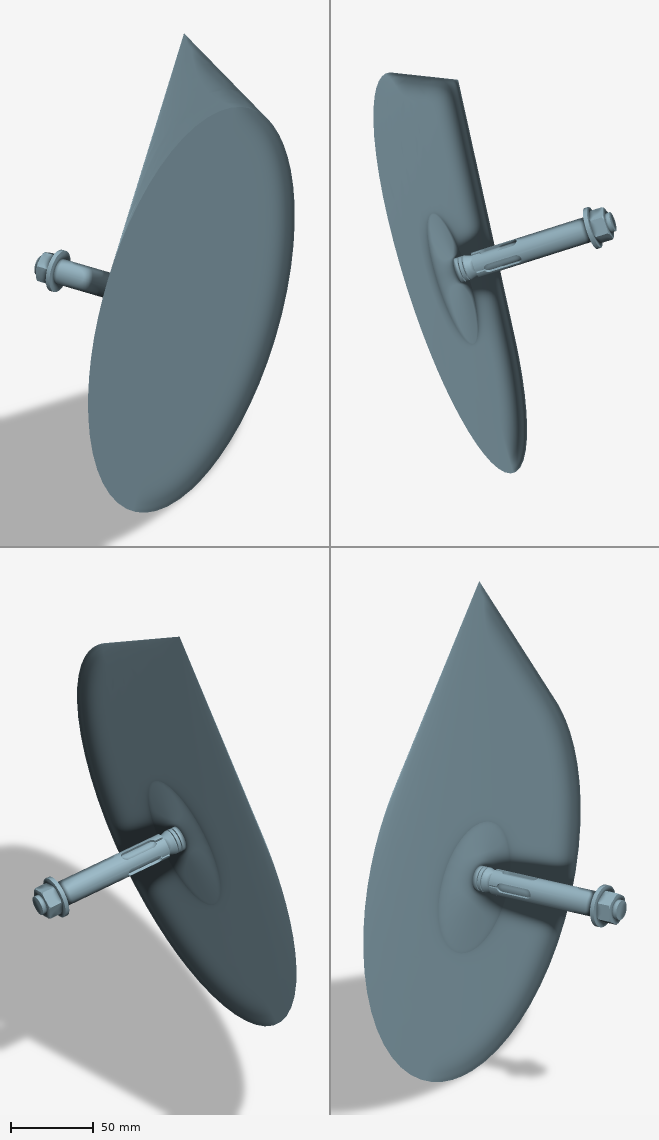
import cadquery as cq
import math


plate_radius = 126.5
tip_height = 319.5 - plate_radius
tip_rise = 5.0
hub_rise = 5.7
hub_base_radius = 60.7

bolt_end = -105.5
stud_diameter = 12.0
nut_start = -102.5
nut_across_flats = 18.0
nut_chamfer = 0.8
washer_start = -93.5
washer_thickness = 2.5
washer_diameter = 26.0
foot_diameter = 15.3
flare_end = -11.5
groove_diameter = 11.0
groove_starts = (-11.0, -8.3)
groove_width = 0.5

sleeve_start = washer_start + washer_thickness
sleeve_end = -16.5
sleeve_diameter = 15.5
slot_start = -46.0
slot_end = -22.0
slot_width = 6.0
slit_width = 1.3
slot_count = 4

hub_top_radius = foot_diameter / 2
hub_top = -hub_rise * (1 - hub_top_radius / hub_base_radius)


def cylinder(start, end, diameter):
    """Round bar along the X axis."""
    return cq.Workplane("YZ", origin=(start, 0, 0)).circle(diameter / 2).extrude(end - start)


def cone(start, end, start_radius, end_radius):
    """Truncated cone along the X axis."""
    return cq.Workplane(
        cq.Solid.makeCone(
            start_radius, end_radius, end - start, cq.Vector(start, 0, 0), cq.Vector(1, 0, 0)
        )
    )


def make_oblique_cone():
    """Solid cone over the round base, with its apex at the tip of the drop."""
    right_cone = cq.Solid.makeCone(
        plate_radius, 0, tip_rise, cq.Vector(0, 0, 0), cq.Vector(-1, 0, 0)
    )
    shear = cq.Matrix([[1, 0, 0, 0], [0, 1, 0, 0], [-tip_height / tip_rise, 0, 1, 0]])
    return cq.Workplane(right_cone.transformGeometry(shear))


def make_plate():
    hub = cone(hub_top, 0, hub_top_radius, hub_base_radius)
    return make_oblique_cone().union(hub)


def make_nut():
    """Hexagon nut with flats facing +Y and -Y and chamfered corners."""
    corner_diameter = nut_across_flats / math.cos(math.pi / 6)
    hexagon = (
        cq.Workplane("YZ", origin=(nut_start, 0, 0))
        .transformed(rotate=(0, 0, 90))
        .polygon(6, corner_diameter)
        .extrude(washer_start - nut_start)
    )
    rounding = cylinder(nut_start, washer_start, corner_diameter).edges().chamfer(nut_chamfer)
    return hexagon.intersect(rounding)


def make_bolt():
    bolt = cylinder(bolt_end, sleeve_end, stud_diameter)
    bolt = bolt.union(make_nut())
    bolt = bolt.union(cylinder(washer_start, sleeve_start, washer_diameter))
    bolt = bolt.union(cone(sleeve_end, flare_end, stud_diameter / 2, foot_diameter / 2))
    bolt = bolt.union(cylinder(flare_end, hub_top, foot_diameter))
    for start in groove_starts:
        groove_band = cylinder(start, start + groove_width, foot_diameter)
        groove_core = cylinder(start, start + groove_width, groove_diameter)
        bolt = bolt.cut(groove_band.cut(groove_core))
    return bolt


def make_slot():
    """Cutter for one slot with rounded ends and the slit from it to the sleeve's end."""
    slot = (
        cq.Workplane("XY")
        .center((slot_start + slot_end) / 2, 0)
        .slot2D(slot_end - slot_start, slot_width)
        .extrude(sleeve_diameter)
    )
    slit_start = slot_end - slot_width / 2
    slit_length = sleeve_end - slit_start
    slit = (
        cq.Workplane("XY")
        .center(slit_start + slit_length / 2, 0)
        .rect(slit_length, slit_width)
        .extrude(sleeve_diameter)
    )
    return slot.union(slit)


def make_sleeve():
    sleeve = cylinder(sleeve_start, sleeve_end, sleeve_diameter)
    sleeve = sleeve.cut(cylinder(sleeve_start, sleeve_end, stud_diameter))
    slot = make_slot()
    for index in range(slot_count):
        sleeve = sleeve.cut(slot.rotate((0, 0, 0), (1, 0, 0), index * 360 / slot_count))
    return sleeve


plate = make_plate()
bolt = make_bolt()
sleeve = make_sleeve()
result = cq.Compound.makeCompound([plate.val(), bolt.val(), sleeve.val()])